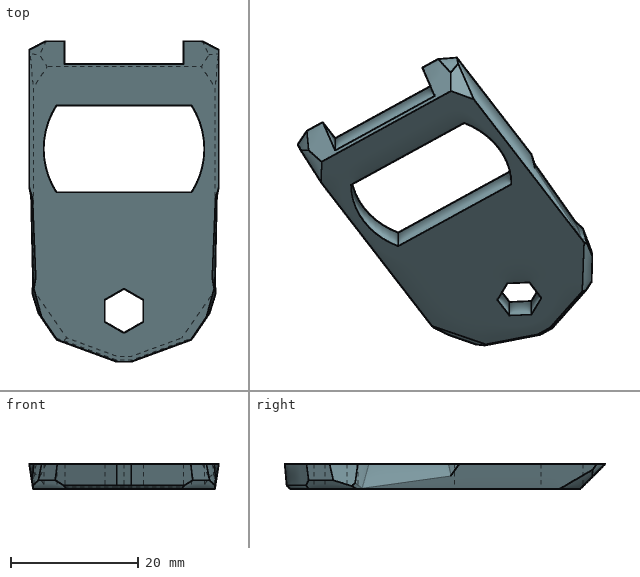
import cadquery as cq

LENGTH = 50.35
WIDTH = 29.8
THICKNESS = 4.0
REAR_Y = LENGTH / 2
FRONT_Y = -LENGTH / 2
TOP_HALF_WIDTH = WIDTH / 2
SIDE_TAPER = 0.63
BOTTOM_HALF_WIDTH = TOP_HALF_WIDTH - SIDE_TAPER

NOTCH_HALF_WIDTH = 9.3
NOTCH_FLOOR_Y = 21.6
WINDOW_Y = 8.25
WINDOW_RADIUS = 12.6
WINDOW_HEIGHT = 13.6
HEX_Y = -17.2
HEX_CORNER_DIAMETER = 6.9

NOSE_LEAN = 0.3
NOSE_CHAMFER = 0.6
CORNER_CHAMFER_Z = 1.385

BLOCK_SIZE = 4 * LENGTH
INNER_POINT = cq.Vector(0.5, 0.0, THICKNESS / 2)


def top(x, y):
    """Point on the top face."""
    return (x, y, THICKNESS)


def on_side(y, z):
    """Point on the tapered right side."""
    return (BOTTOM_HALF_WIDTH + SIDE_TAPER * z / THICKNESS, y, z)


def beyond(first, second, third):
    """Block filling the space beyond the plane of three points, away from the part's core."""
    origin = cq.Vector(*first)
    along = cq.Vector(*second) - origin
    normal = along.cross(cq.Vector(*third) - origin)
    if normal.dot(INNER_POINT - origin) > 0:
        normal = -normal
    plane = cq.Plane(origin=origin, xDir=along, normal=normal)
    return cq.Workplane(plane).rect(BLOCK_SIZE, BLOCK_SIZE).extrude(BLOCK_SIZE)


nose_tip = top(1.135, FRONT_Y)
nose_corner = top(10.5, -21.75)
cheek_corner = top(12.95, -18.15)
relief_exit = top(14.15, -13.7)
relief_front = top(13.85, -12.0)
relief_rear = top(14.35, 0.5)
relief_entry = top(TOP_HALF_WIDTH, 2.25)
rear_side = top(TOP_HALF_WIDTH, 23.8)
rear_corner = top(12.3, REAR_Y)

nose_corner_low = (10.7, -21.5, CORNER_CHAMFER_Z)
cheek_corner_low = (13.45, -17.55, CORNER_CHAMFER_Z)
corner_chamfer_end = on_side(-13.85, 0)
relief_rear_low = on_side(1.05, 2.3)
relief_front_low = on_side(-13.05, 0.175)
rear_facet_low = on_side(23.2, 3.05)
rear_chamfer_end = on_side(17.95, 0)
REAR_CHAMFER_Z = 1.85
rear_chamfer_inner = (13.3, REAR_Y - THICKNESS + REAR_CHAMFER_Z, REAR_CHAMFER_Z)

nose_edge_y = FRONT_Y + NOSE_LEAN
nose_edge_tip = (nose_tip[0], nose_edge_y, NOSE_CHAMFER)
nose_edge_middle = (0, nose_edge_y, NOSE_CHAMFER)
nose_run = (cq.Vector(*nose_corner) - cq.Vector(*nose_tip)).toTuple()
nose_edge_outer = (nose_edge_tip[0] + nose_run[0], nose_edge_y + nose_run[1], NOSE_CHAMFER)
nose_bottom_tip = (nose_tip[0], nose_edge_y + NOSE_CHAMFER, 0)

wall_planes = [
    (relief_entry, rear_side, rear_chamfer_end),
    (rear_corner, top(0, REAR_Y), (0, REAR_Y - THICKNESS, 0)),
    (rear_corner, rear_side, rear_facet_low),
    (rear_facet_low, rear_chamfer_end, rear_chamfer_inner),
    (nose_tip, top(0, FRONT_Y), nose_edge_tip),
    (nose_tip, nose_corner, nose_edge_tip),
    (nose_corner, cheek_corner, cheek_corner_low),
    (cheek_corner, relief_exit, cheek_corner_low),
    (nose_edge_tip, nose_edge_middle, nose_bottom_tip),
    (nose_edge_tip, nose_edge_outer, nose_bottom_tip),
    (nose_corner_low, cheek_corner_low, corner_chamfer_end),
]

half = cq.Workplane("XY").box(WIDTH / 2, LENGTH, THICKNESS, centered=(False, True, False))
for wall in wall_planes:
    half = half.cut(beyond(*wall))

relief = (
    beyond(relief_entry, relief_rear, relief_rear_low)
    .intersect(beyond(relief_rear, relief_front, relief_front_low))
    .intersect(beyond(relief_front, relief_exit, relief_front_low))
)
half = half.cut(relief)
plate = half.union(half.mirror("YZ")).clean()

notch_depth = REAR_Y - NOTCH_FLOOR_Y
notch = (
    cq.Workplane("XY")
    .center(0, NOTCH_FLOOR_Y + notch_depth / 2)
    .rect(2 * NOTCH_HALF_WIDTH, notch_depth)
    .extrude(THICKNESS)
)

window_base = cq.Workplane("XY").center(0, WINDOW_Y)
window = (
    window_base.circle(WINDOW_RADIUS)
    .extrude(THICKNESS)
    .intersect(window_base.rect(WIDTH, WINDOW_HEIGHT).extrude(THICKNESS))
)

hexagon = (
    cq.Workplane("XY")
    .center(0, HEX_Y)
    .transformed(rotate=(0, 0, 90))
    .polygon(6, HEX_CORNER_DIAMETER)
    .extrude(THICKNESS)
)

result = plate.cut(notch).cut(window).cut(hexagon)